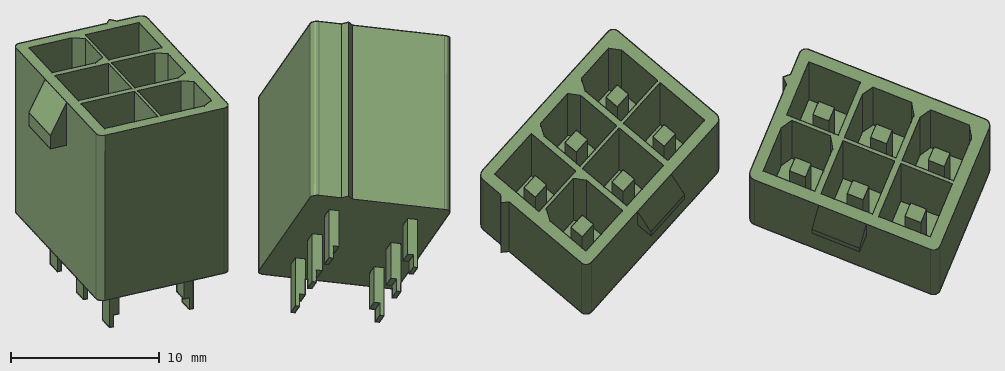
import cadquery as cq


TOTAL_HEIGHT = 16.3
TOTAL_WIDTH = 14.2
TOTAL_DEPTH = 10.95

LEAD_LENGTH = 3.52
RIDGE_PROTRUSION = 0.4
LATCH_PROTRUSION = 1.2
CORNER_RADIUS = 0.49
BODY_WIDTH = TOTAL_WIDTH - RIDGE_PROTRUSION
BODY_DEPTH = TOTAL_DEPTH - LATCH_PROTRUSION
BODY_HEIGHT = TOTAL_HEIGHT - LEAD_LENGTH

PITCH = 4.19
COLUMN_X = (-PITCH, 0, PITCH)
FRONT_ROW_Y = -PITCH / 2
BACK_ROW_Y = PITCH / 2
CAVITY_WIDTH = 3.75
CAVITY_DEPTH = 3.96
CAVITY_SHIFT_X = -0.02
FLOOR_THICKNESS = 2.0
CUT_CORNER_X = 0.47
CUT_CORNER_Y = 0.75
KEYED_CAVITIES = (
    (COLUMN_X[0], FRONT_ROW_Y),
    (COLUMN_X[1], BACK_ROW_Y),
    (COLUMN_X[2], BACK_ROW_Y),
)

PIN_WIDTH = 1.15
PIN_DEPTH = 1.01
PIN_RECESS = 3.59

LEAD_ROW_SPACING = 5.5
LEAD_THICKNESS = 0.7
LEAD_TIP_THICKNESS = 0.3
LEAD_TIP_LENGTH = 0.9

LATCH_WIDTH = 3.45
LATCH_HEIGHT = 3.33
LATCH_FACE_HEIGHT = 1.03

RIDGE_WIDTH = 0.75
RIDGE_SETBACK = 2.43


def make_body():
    body = cq.Workplane("XY").rect(BODY_WIDTH, BODY_DEPTH).extrude(BODY_HEIGHT)
    return body.edges("|Z").fillet(CORNER_RADIUS)


def make_cavity(x, y, keyed):
    half_width = CAVITY_WIDTH / 2
    half_depth = CAVITY_DEPTH / 2
    floor = cq.Workplane("XY", origin=(x + CAVITY_SHIFT_X, y, FLOOR_THICKNESS))
    if keyed:
        outline = floor.polyline([
            (-half_width, -half_depth),
            (half_width, -half_depth),
            (half_width, half_depth - CUT_CORNER_Y),
            (half_width - CUT_CORNER_X, half_depth),
            (-half_width + CUT_CORNER_X, half_depth),
            (-half_width, half_depth - CUT_CORNER_Y),
        ]).close()
    else:
        outline = floor.rect(CAVITY_WIDTH, CAVITY_DEPTH)
    return outline.extrude(BODY_HEIGHT - FLOOR_THICKNESS)


def make_pin(x, y):
    pin_height = BODY_HEIGHT - PIN_RECESS
    return cq.Workplane("XY", origin=(x, y, 0)).rect(PIN_WIDTH, PIN_DEPTH).extrude(pin_height)


def make_lead(x, side):
    """Stepped lead whose thin tip lies on its outer face; side is -1 for front, 1 for back."""
    outer_y = side * (LEAD_ROW_SPACING + LEAD_THICKNESS) / 2
    inner_y = outer_y - side * LEAD_THICKNESS
    step_y = outer_y - side * LEAD_TIP_THICKNESS
    step_z = LEAD_TIP_LENGTH - LEAD_LENGTH
    outline = cq.Workplane("YZ", origin=(x, 0, 0)).polyline([
        (inner_y, 0),
        (outer_y, 0),
        (outer_y, -LEAD_LENGTH),
        (step_y, -LEAD_LENGTH),
        (step_y, step_z),
        (inner_y, step_z),
    ]).close()
    return outline.extrude(PIN_WIDTH / 2, both=True)


def make_latch():
    face_y = -BODY_DEPTH / 2
    tip_y = face_y - LATCH_PROTRUSION
    bottom_z = BODY_HEIGHT - LATCH_HEIGHT
    outline = cq.Workplane("YZ").polyline([
        (face_y, BODY_HEIGHT),
        (tip_y, bottom_z + LATCH_FACE_HEIGHT),
        (tip_y, bottom_z),
        (face_y, bottom_z),
    ]).close()
    return outline.extrude(LATCH_WIDTH / 2, both=True)


def make_ridge():
    face_x = -BODY_WIDTH / 2
    ridge_y = BODY_DEPTH / 2 - RIDGE_SETBACK
    outline = cq.Workplane("XY").polyline([
        (face_x, ridge_y - RIDGE_WIDTH / 2),
        (face_x, ridge_y + RIDGE_WIDTH / 2),
        (face_x - RIDGE_PROTRUSION, ridge_y),
    ]).close()
    return outline.extrude(BODY_HEIGHT)


result = make_body().union(make_latch()).union(make_ridge())
for column_x in COLUMN_X:
    for row_y in (FRONT_ROW_Y, BACK_ROW_Y):
        is_keyed = (column_x, row_y) in KEYED_CAVITIES
        result = result.cut(make_cavity(column_x, row_y, is_keyed))
        result = result.union(make_pin(column_x, row_y))
    for lead_side in (-1, 1):
        result = result.union(make_lead(column_x, lead_side))